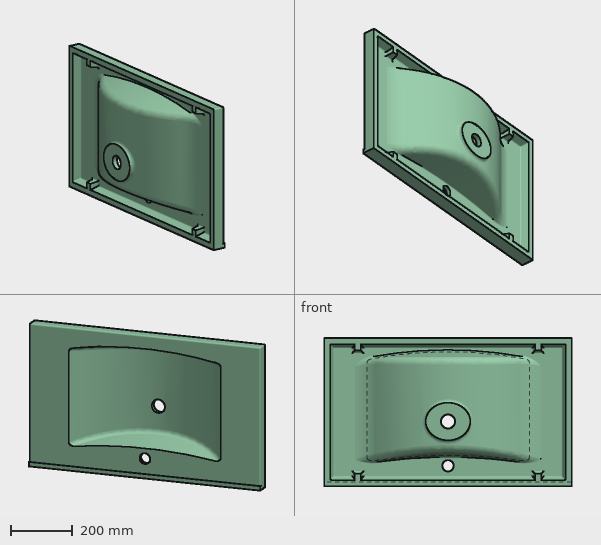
import cadquery as cq
import math

LENGTH = 800.0
HEIGHT = 480.0
TRAY_DEPTH = 42.5
WALL = 20.0
FLOOR_THICKNESS = 15.0
FLOOR_Y = TRAY_DEPTH - FLOOR_THICKNESS
CORNER_RADIUS = 4.0
BACK_EDGE_RADIUS = 6.0

LIP_HEIGHT = 15.0
LIP_RISE = 2.5

POCKET_DRAFT = 10.5
POCKET_CORNER_RADIUS = 5.0
POCKET_ROOT_RADIUS = 5.0
BOSS_X = 291.0
BOSS_WIDTH = 19.0
BOSS_REACH = 21.0
BOSS_DRAFT = 6.0

BOWL_DEPTH = 90.5
BOWL_RADIUS = 352.0
BOWL_WALL = 10.0
FLARE_START_X = 232.0
FLARE_END_X = 300.0
BOWL_EDGE_RADIUS = 25.0
BOWL_ROOT_RADIUS = 4.0

UPPER_END_Z = 414.0
UPPER_END_SLOPE = 0.24
UPPER_END_RADIUS = 1345.0
LOWER_END_Z = 112.0
LOWER_END_SLOPE = 0.15
LOWER_END_RADIUS = 1641.0

SEAT_Y = -98.5
SEAT_Z = 210.0
SEAT_HALF_WIDTH = 72.0
SEAT_HALF_HEIGHT = 61.0
SEAT_BLEND_RADIUS = 12.0
DRAIN_DIAMETER = 45.0
TAP_HOLE_Z = 66.5
TAP_HOLE_DIAMETER = 36.0

CUT_MARGIN = 40.0
OPEN_Y = TRAY_DEPTH + CUT_MARGIN

SELECT_MARGIN = 1.0


def plane_at(y):
    """Plane at the given Y that extrudes toward +Y; its local axes are +X and -Z."""
    return cq.Workplane(cq.Plane(origin=(0, y, 0), xDir=(1, 0, 0), normal=(0, 1, 0)))


def make_tray():
    slab = cq.Workplane("XY").box(LENGTH, TRAY_DEPTH, HEIGHT, centered=(True, False, False))
    slab = slab.edges("|Y and >Z").fillet(CORNER_RADIUS)
    slab = slab.faces(">Y").edges("not <Z").fillet(BACK_EDGE_RADIUS)
    lip = (
        cq.Workplane("XY")
        .box(LENGTH, FLOOR_THICKNESS + LIP_RISE, LIP_HEIGHT, centered=(True, False, False))
        .translate((0, FLOOR_Y, 0))
    )
    return slab.union(lip)


def make_boss():
    """Drafted boss on the lower long wall, widening toward the tray floor."""
    tip = WALL + BOSS_REACH
    return (
        plane_at(0)
        .rect(BOSS_WIDTH, 2 * tip)
        .workplane(offset=FLOOR_Y)
        .rect(BOSS_WIDTH + 2 * BOSS_DRAFT, 2 * (tip + BOSS_DRAFT))
        .loft(ruled=True)
    )


def make_pocket():
    """Pocket volume: a drafted, rounded opening less the four bosses."""
    draft_angle = math.degrees(math.atan(POCKET_DRAFT / FLOOR_Y))
    pocket = (
        plane_at(0)
        .center(0, -HEIGHT / 2)
        .rect(LENGTH - 2 * WALL, HEIGHT - 2 * WALL)
        .extrude(FLOOR_Y, taper=draft_angle)
    )
    pocket = pocket.edges("not (<Y or >Y)").fillet(POCKET_CORNER_RADIUS)
    boss = make_boss()
    for x in (-BOSS_X, BOSS_X):
        for z in (0, HEIGHT):
            pocket = pocket.cut(boss.translate((x, 0, z)))
    return pocket.faces(">Y").edges().fillet(POCKET_ROOT_RADIUS)


def end_arc(z, radius, half_width):
    """Start, middle and end of an arc that peaks at z and falls away to both sides."""
    side_z = z - radius + math.sqrt(radius**2 - half_width**2)
    return (-half_width, -side_z), (0, -z), (half_width, -side_z)


def end_section(y, inset):
    """Section between the end faces at one Y: arcs above and below, joined by straight sides."""
    half_width = FLARE_END_X + CUT_MARGIN
    rise = y + BOWL_DEPTH
    upper_z = UPPER_END_Z + UPPER_END_SLOPE * rise - inset
    lower_z = LOWER_END_Z - LOWER_END_SLOPE * rise + inset
    upper_left, upper_middle, upper_right = end_arc(upper_z, UPPER_END_RADIUS, half_width)
    lower_left, lower_middle, lower_right = end_arc(lower_z, LOWER_END_RADIUS, half_width)
    return (
        plane_at(y)
        .moveTo(*upper_left)
        .threePointArc(upper_middle, upper_right)
        .lineTo(*lower_right)
        .threePointArc(lower_middle, lower_left)
        .close()
        .wires()
        .val()
    )


def trim_ends(trough, inset, edge_radius):
    """Trim a trough running along Z to the sloping end faces and round the outer edges."""
    sections = [end_section(y, inset) for y in (-BOWL_DEPTH, OPEN_Y)]
    body = trough.intersect(cq.Workplane(cq.Solid.makeLoft(sections, True)))
    rim = body.edges("not |Z").filter(lambda edge: edge.BoundingBox().ymin < FLOOR_Y - SELECT_MARGIN)
    return rim.fillet(edge_radius)


def make_trough():
    """Outer body of the bowl before its ends are shaped, flaring into the tray floor."""
    half_angle = math.asin(FLARE_START_X / BOWL_RADIUS)
    arc_points = [
        (BOWL_RADIUS * math.sin(angle), BOWL_RADIUS * (1 - math.cos(angle)) - BOWL_DEPTH)
        for angle in (half_angle / 2, half_angle)
    ]
    return (
        cq.Workplane("XY")
        .moveTo(0, -BOWL_DEPTH)
        .threePointArc(*arc_points)
        .tangentArcPoint((FLARE_END_X, FLOOR_Y), relative=False)
        .lineTo(FLARE_END_X, OPEN_Y)
        .lineTo(0, OPEN_Y)
        .mirrorY()
        .extrude(HEIGHT)
    )


def make_bowl():
    """Outer body of the bowl, ending at the tray back."""
    beyond_back = cq.Workplane("XY").box(LENGTH, HEIGHT, HEIGHT, centered=(True, False, False))
    body = trim_ends(make_trough(), 0, BOWL_EDGE_RADIUS)
    return body.cut(beyond_back.translate((0, TRAY_DEPTH, 0)))


def make_cavity():
    """Hollow of the bowl, running out through the back of the tray."""
    radius = BOWL_RADIUS - BOWL_WALL
    half_width = math.sqrt(radius**2 - (BOWL_RADIUS - BOWL_DEPTH - OPEN_Y) ** 2)
    trough = (
        cq.Workplane("XY")
        .moveTo(-half_width, OPEN_Y)
        .threePointArc((0, BOWL_WALL - BOWL_DEPTH), (half_width, OPEN_Y))
        .close()
        .extrude(HEIGHT)
    )
    return trim_ends(trough, BOWL_WALL, BOWL_EDGE_RADIUS - BOWL_WALL)


def make_drain_seat():
    """Oval drain seat with its blend into the bowl bottom and the patch of bowl around it."""
    reach_x = SEAT_HALF_WIDTH + 2 * SEAT_BLEND_RADIUS
    reach_z = SEAT_HALF_HEIGHT + SEAT_BLEND_RADIUS
    seat = plane_at(SEAT_Y).center(0, -SEAT_Z).ellipse(SEAT_HALF_WIDTH, SEAT_HALF_HEIGHT).extrude(-SEAT_Y)
    seat_foot = cq.selectors.BoxSelector(
        (-reach_x, SEAT_Y + SELECT_MARGIN, SEAT_Z - reach_z), (reach_x, 0, SEAT_Z + reach_z), boundingbox=True
    )
    blended = make_trough().union(seat).edges(seat_foot).fillet(SEAT_BLEND_RADIUS)
    patch = plane_at(SEAT_Y).center(0, -SEAT_Z).rect(2 * reach_x, 2 * reach_z).extrude(-SEAT_Y)
    return blended.intersect(patch)


def make_hole(z, diameter):
    """Round hole through the whole part along Y."""
    return plane_at(SEAT_Y).center(0, -z).circle(diameter / 2).extrude(OPEN_Y - SEAT_Y)


def round_bowl_root(body):
    """Round the inner corner where the end faces of the bowl meet the tray floor."""
    reach_x = (FLARE_START_X + FLARE_END_X) / 2
    root = cq.selectors.BoxSelector(
        (-reach_x, FLOOR_Y - SELECT_MARGIN, 0), (reach_x, FLOOR_Y + SELECT_MARGIN, HEIGHT), boundingbox=True
    )
    return body.edges(root).fillet(BOWL_ROOT_RADIUS)


tray = make_tray().cut(make_pocket())
basin = round_bowl_root(tray.union(make_bowl())).union(make_drain_seat()).cut(make_cavity())
result = basin.cut(make_hole(SEAT_Z, DRAIN_DIAMETER)).cut(make_hole(TAP_HOLE_Z, TAP_HOLE_DIAMETER))